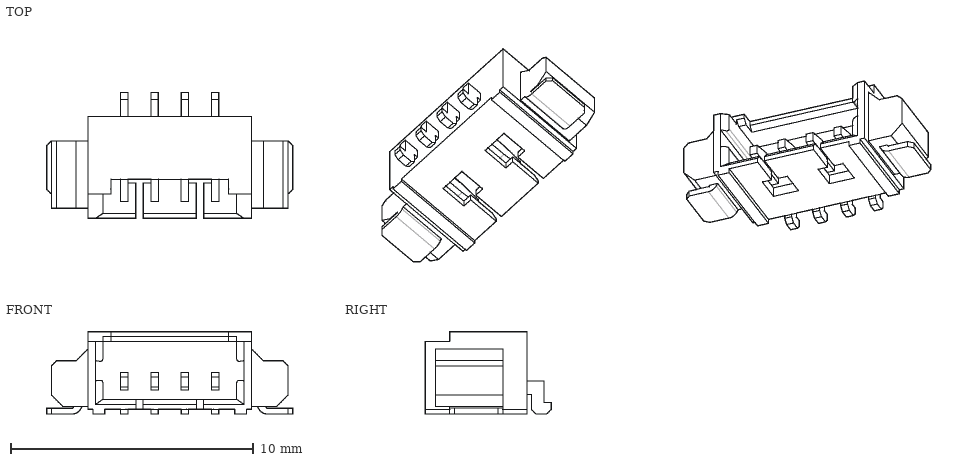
import cadquery as cq


body_width = 6.75
body_depth = 4.2
body_top = 3.4
body_bottom = 0.19
front_wall_top = 2.99
roof_setback = 1.0
roof_notch_width = 4.85
roof_notch_back = 1.61

cavity_width = 5.52
cavity_depth = 2.96
cavity_floor = 0.61
cavity_ceiling = front_wall_top
lead_in_depth = 0.2
lead_in_rise = 0.21
mouth_width = 6.13
groove_bottom = 1.41
groove_top = 2.16
groove_undercut = 0.04
groove_edge_radius = 0.1

rail_width = 0.5
rail_centre = 2.92

pin_count = 4
pin_pitch = 1.25
pin_width = 0.31
pin_tip = 0.7
pin_taper_end = 1.65
pin_bottom = 0.98
pin_top = 1.72
pin_tip_bottom = 1.13
pin_tip_top = 1.52
tail_top = 1.37
tail_bottom = 0.8
tail_end = 5.2
leg_inner = 4.37
leg_outer = 4.9
toe_top = 0.49
toe_chamfer = 0.19

floor_slot_width = 0.3
window_width = 1.12
window_front = 1.46
window_back = 2.65

ear_front = 0.42
ear_back = 3.2
ear_reach = 4.88
ear_bottom = 0.3
ear_top = 2.2
ear_shoulder_x = 3.86
ear_shoulder_rise = ear_shoulder_x - body_width / 2
ear_top_chamfer = 0.21
ear_bottom_chamfer = 0.49

clip_reach = 5.08
clip_front = roof_setback
clip_thickness = 0.24
clip_lower_bend_x = 3.8
clip_upper_bend_x = 4.0
clip_root_z = 0.51
clip_bend_slope = 0.6
clip_bend_radius = 0.41
clip_corner_chamfer = 0.19


def block(x_min, x_max, y_min, y_max, z_min, z_max):
    """Box given by its limits along each axis."""
    size = (x_max - x_min, y_max - y_min, z_max - z_min)
    return cq.Workplane("XY").box(*size, centered=False).translate((x_min, y_min, z_min))


def centred_block(width, y_min, y_max, z_min, z_max):
    """Box symmetric about X = 0."""
    return block(-width / 2, width / 2, y_min, y_max, z_min, z_max)


def extrude_along_x(points, width, x_centre=0):
    """Closed (y, z) outline, extruded symmetrically about x_centre."""
    return cq.Workplane("YZ", origin=(x_centre, 0, 0)).polyline(points).close().extrude(width / 2, both=True)


def extrude_along_y(points, y_min, y_max):
    """Closed (x, z) outline, extruded from y_min to y_max."""
    return cq.Workplane("XZ", origin=(0, y_min, 0)).polyline(points).close().extrude(y_min - y_max)


def both_sides(shape):
    """The shape together with its mirror image across X = 0."""
    return shape.union(shape.mirror("YZ"))


def roof_lead_in(width, edge_y):
    """Wedge that bevels the lower front edge of the roof, whose front face is at edge_y."""
    bevel_top = cavity_ceiling + lead_in_rise
    outline = [(edge_y, cavity_ceiling), (edge_y, bevel_top), (edge_y + lead_in_depth, cavity_ceiling)]
    return extrude_along_x(outline, width)


def mouth_lead_in():
    """Tapered opening that widens the cavity sides and floor at the mating face."""
    mouth_floor = cavity_floor - lead_in_rise
    mouth = cq.Workplane("XZ").center(0, (mouth_floor + front_wall_top) / 2)
    mouth = mouth.rect(mouth_width, front_wall_top - mouth_floor)
    inner = mouth.workplane(offset=-lead_in_depth).center(0, lead_in_rise / 2)
    return inner.rect(cavity_width, front_wall_top - cavity_floor).loft(ruled=True)


def make_cavity():
    """Cavity volume with an undercut groove along each side and rounded edges where the grooves begin."""
    wall_x = cavity_width / 2
    groove_x = mouth_width / 2
    groove_outline = [
        (-wall_x, groove_bottom),
        (-groove_x, groove_bottom - groove_undercut),
        (-groove_x, groove_top + groove_undercut),
        (-wall_x, groove_top),
        (wall_x, groove_top),
        (groove_x, groove_top + groove_undercut),
        (groove_x, groove_bottom - groove_undercut),
        (wall_x, groove_bottom),
    ]
    cavity = centred_block(cavity_width, 0, cavity_depth, cavity_floor, cavity_ceiling)
    cavity = cavity.union(extrude_along_y(groove_outline, 0, cavity_depth))
    for x in (-wall_x, wall_x):
        for z in (groove_bottom, groove_top):
            groove_edge = cq.selectors.NearestToPointSelector((x, cavity_depth / 2, z))
            cavity = cavity.edges(groove_edge).fillet(groove_edge_radius)
    return cavity


def make_housing():
    housing = centred_block(body_width, 0, body_depth, body_bottom, body_top)
    housing = housing.cut(centred_block(body_width, 0, roof_setback, front_wall_top, body_top))
    housing = housing.cut(centred_block(roof_notch_width, 0, roof_notch_back, front_wall_top, body_top))
    housing = housing.cut(make_cavity())
    housing = housing.cut(roof_lead_in(cavity_width, roof_setback))
    housing = housing.cut(roof_lead_in(roof_notch_width, roof_notch_back))
    housing = housing.cut(mouth_lead_in())
    rail_outer = rail_centre + rail_width / 2
    rail = block(rail_centre - rail_width / 2, rail_outer, 0, body_depth, 0, body_bottom)
    return housing.union(both_sides(rail))


def make_floor_openings():
    """Slot open to the mating face, ending in a wider window, on each side."""
    slot = centred_block(floor_slot_width, 0, window_front, 0, cavity_floor)
    window = centred_block(window_width, window_front, window_back, 0, cavity_floor)
    return both_sides(slot.union(window).translate((pin_pitch, 0, 0)))


def make_pin(x_centre):
    """Tapered blade in the cavity, with a stepped tail behind the housing."""
    outline = [
        (pin_tip, pin_tip_bottom),
        (pin_tip, pin_tip_top),
        (pin_taper_end, pin_top),
        (cavity_depth, pin_top),
        (cavity_depth, tail_top),
        (leg_outer, tail_top),
        (leg_outer, toe_top),
        (tail_end, toe_top),
        (tail_end, toe_chamfer),
        (tail_end - toe_chamfer, 0),
        (leg_inner + toe_chamfer, 0),
        (leg_inner, toe_chamfer),
        (leg_inner, tail_bottom),
        (cavity_depth, tail_bottom),
        (cavity_depth, pin_bottom),
        (pin_taper_end, pin_bottom),
    ]
    return extrude_along_x(outline, pin_width, x_centre)


def make_ear():
    wall_x = body_width / 2
    outline = [
        (wall_x, ear_bottom),
        (wall_x, ear_top + ear_shoulder_rise),
        (ear_shoulder_x, ear_top),
        (ear_reach - ear_top_chamfer, ear_top),
        (ear_reach, ear_top - ear_top_chamfer),
        (ear_reach, ear_bottom + ear_bottom_chamfer),
        (ear_reach - ear_bottom_chamfer, ear_bottom),
    ]
    return extrude_along_y(outline, ear_front, ear_back)


def make_clip():
    """Flat solder foot that bends up and inwards into the ear."""
    outline = [
        (clip_reach, 0),
        (clip_reach, clip_thickness),
        (clip_upper_bend_x, clip_thickness),
        (clip_upper_bend_x - clip_bend_slope * (clip_root_z - clip_thickness), clip_root_z),
        (clip_lower_bend_x - clip_bend_slope * clip_root_z, clip_root_z),
        (clip_lower_bend_x, 0),
    ]
    clip = extrude_along_y(outline, clip_front, ear_back)
    bend_edge = cq.selectors.NearestToPointSelector((clip_lower_bend_x, (clip_front + ear_back) / 2, 0))
    clip = clip.edges(bend_edge).fillet(clip_bend_radius)
    return clip.edges("|Z and >X").chamfer(clip_corner_chamfer)


result = make_housing().cut(make_floor_openings())
for index in range(pin_count):
    result = result.union(make_pin((index - (pin_count - 1) / 2) * pin_pitch))
result = result.union(both_sides(make_ear()))
result = result.union(both_sides(make_clip()))